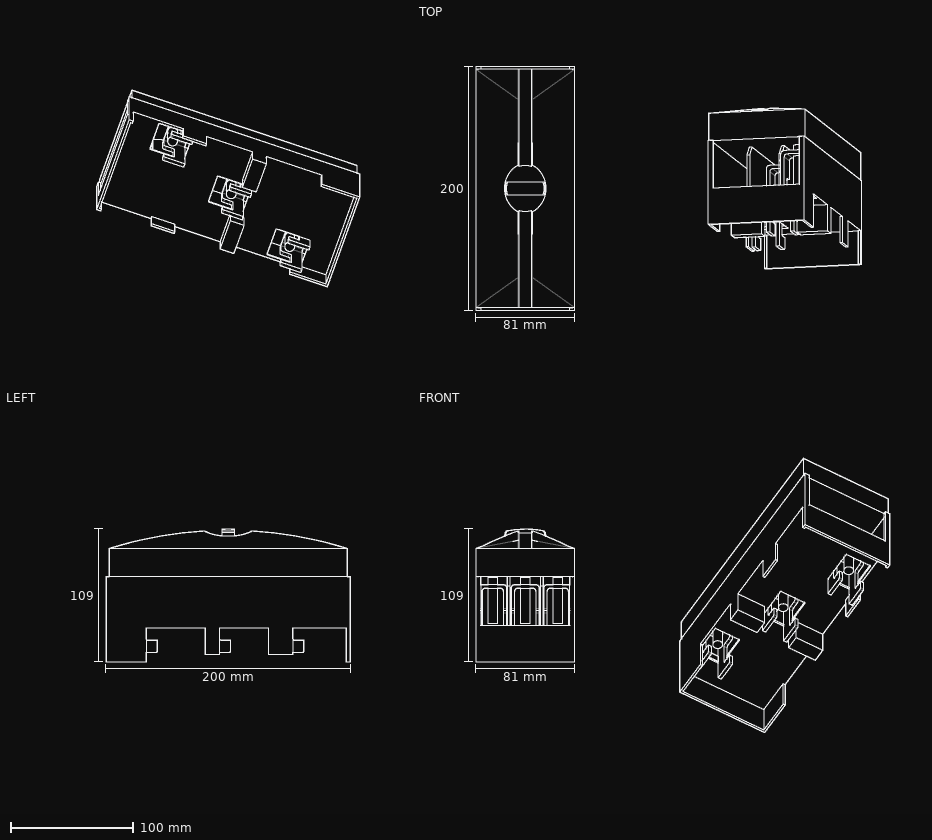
import cadquery as cq
import math

width = 81.0
length = 200.0
housing_height = 70.0
side_wall = 2.0
end_wall = 2.0
post_width = 4.2
floor_bottom = 27.8
floor_top = 30.0
foot_level = 6.0
front_foot_depth = 3.5
second_foot_depth = 20.2
third_foot_depth = 12.0

poles = (-1, 0, 1)
pole_pitch = 26.5
stagger = 60.0
middle_throat_y = 7.0

divider_thickness = 2.5
divider_x = 13.5
divider_end_y = 70.5
divider_shoulder = 62.2
divider_slope = 45
opening_lead = 20.2

clamp_width = 23.2
clamp_strip = 3.0
clamp_bottom = 7.8
clamp_top = 63.5
mouth_bottom = 18.0
mouth_top = 42.0
mouth_depth = 9.0
clamp_back = 9.2
mouth_radius = 2.0
foot_corner_radius = 1.0
toe_radius = 1.2
bend_inner_radius = 2.5
bend_outer_radius = 3.0

screw_diameter = 8.0
screw_bottom = 31.5
screw_top = 69.5

cover_length = 195.2
cover_side_height = 23.0
ridge_half_width = 5.8
hip_y = 72.8
roof_rise = 15.0
groove_half_width = 5.2
groove_rise = 13.0
dish_radius = 22.8
dish_center_z = 118.5

knob_width = 10.5
knob_top = 109.0
knob_seat_radius = 17.0
knob_rim_radius = 16.5
knob_rim_z = 106.0
knob_edge_radius = 15.5
knob_edge_z = 107.5

half_width = width / 2
half_length = length / 2
half_cover = cover_length / 2
half_clamp = clamp_width / 2
inner_x = half_width - side_wall
inner_y = half_length - end_wall
eaves_z = housing_height + cover_side_height


def pole_x(pole):
    """X of the middle plane of one pole."""
    return pole * pole_pitch


def throat_y(pole):
    """Y of the clamp throat of one pole."""
    return middle_throat_y - pole * stagger


def block(x0, x1, y0, y1, z0, z1):
    """Box between two opposite corners."""
    return cq.Workplane("XY").box(x1 - x0, y1 - y0, z1 - z0, centered=False).translate((x0, y0, z0))


def arch_height(offset, half_span, rise):
    """Height of a circular arch above its springing, at a distance from its middle."""
    radius = (half_span**2 + rise**2) / (2 * rise)
    return math.sqrt(radius**2 - offset**2) - (radius - rise)


def cut_side_notches(body):
    """Leave feet along both side walls; the two inner ones stop above the bottom."""
    front = -half_length + front_foot_depth
    second, third, last = throat_y(1), throat_y(0), throat_y(-1)
    for y0, y1 in (
        (front, second),
        (second + second_foot_depth, third),
        (third + third_foot_depth, last),
    ):
        body = body.cut(block(-half_width, half_width, y0, y1, 0, floor_bottom))
    return body.cut(block(-half_width, half_width, front, last, 0, foot_level))


def make_divider(x):
    """Upright partition between two poles, with its ends sloping back at the top."""
    setback = (housing_height - divider_shoulder) * math.tan(math.radians(divider_slope))
    top_end_y = divider_end_y - setback
    return (
        cq.Workplane("YZ", origin=(x - divider_thickness / 2, 0, 0))
        .moveTo(-divider_end_y, floor_bottom)
        .lineTo(divider_end_y, floor_bottom)
        .lineTo(divider_end_y, divider_shoulder)
        .lineTo(top_end_y, housing_height)
        .lineTo(-top_end_y, housing_height)
        .lineTo(-divider_end_y, divider_shoulder)
        .close()
        .extrude(divider_thickness)
    )


def make_middle_foot(side):
    """Thick foot that reaches from one side wall in to the middle pole."""
    x0, x1 = sorted((side * (pole_pitch - half_clamp), side * inner_x))
    y = throat_y(0)
    return block(x0, x1, y, y + third_foot_depth, foot_level, floor_bottom)


def make_housing():
    window_x = half_width - post_width
    body = block(-half_width, half_width, -half_length, half_length, 0, housing_height)
    body = body.cut(block(-inner_x, inner_x, -inner_y, inner_y, floor_top, housing_height))
    body = body.cut(block(-inner_x, inner_x, -inner_y, inner_y, 0, floor_bottom))
    body = body.cut(block(-window_x, window_x, -half_length, half_length, floor_top, housing_height))
    body = cut_side_notches(body)
    for side in (-1, 1):
        body = body.union(make_divider(side * divider_x))
        body = body.union(make_middle_foot(side))
    for pole in poles:
        x, y = pole_x(pole), throat_y(pole)
        opening = block(
            x - half_clamp, x + half_clamp, y - opening_lead, y + clamp_back, floor_bottom, floor_top
        )
        body = body.cut(opening)
    return body.solids()


def round_edge_along_x(body, y, z, radius):
    """Fillet the edge that runs along X through the given Y and Z."""
    return body.edges(cq.selectors.NearestToPointSelector((0, y, z))).fillet(radius)


def make_clamp(pole):
    tip = -mouth_depth
    body = (
        cq.Workplane("YZ", origin=(-half_clamp, 0, 0))
        .moveTo(tip, clamp_bottom)
        .lineTo(clamp_back, clamp_bottom)
        .lineTo(clamp_back, clamp_top)
        .lineTo(tip, clamp_top)
        .lineTo(tip, mouth_top)
        .lineTo(0, mouth_top)
        .lineTo(0, mouth_bottom)
        .lineTo(tip, mouth_bottom)
        .close()
        .extrude(clamp_width)
    )
    body = round_edge_along_x(body, tip, mouth_top, mouth_radius)
    body = round_edge_along_x(body, 0, mouth_top, mouth_radius)
    body = round_edge_along_x(body, 0, mouth_bottom, foot_corner_radius)
    body = round_edge_along_x(body, tip, clamp_bottom, toe_radius)
    body = body.edges("|Y and >Z").fillet(bend_outer_radius)

    inner = half_clamp - clamp_strip
    gap = block(-inner, inner, tip, clamp_back, 0, clamp_top - clamp_strip)
    body = body.cut(gap.edges("|Y and >Z").fillet(bend_inner_radius))

    screw_hole = cq.Workplane("XY", origin=(0, tip / 2, 0)).circle(screw_diameter / 2).extrude(clamp_top)
    return body.cut(screw_hole).translate((pole_x(pole), throat_y(pole), 0)).solids()


def make_screw(pole):
    return (
        cq.Workplane("XY", origin=(pole_x(pole), throat_y(pole) - mouth_depth / 2, screw_bottom))
        .circle(screw_diameter / 2)
        .extrude(screw_top - screw_bottom)
    )


def straight_edge(start, end):
    return cq.Edge.makeLine(cq.Vector(*start), cq.Vector(*end))


def roof_arch(x, y0, y1):
    """Part of the roof arch, in the plane at the given X."""
    points = [
        cq.Vector(x, y, eaves_z + arch_height(y, half_cover, roof_rise))
        for y in (y0, (y0 + y1) / 2, y1)
    ]
    return cq.Edge.makeThreePointArc(*points)


def flat_face(points):
    return cq.Face.makeFromWires(cq.Wire.makePolygon([cq.Vector(*point) for point in points], close=True))


def roof_faces():
    """Ridge strip, two long slopes and the triangles beside the ridge at each end."""
    hip_z = eaves_z + arch_height(hip_y, half_cover, roof_rise)
    faces = []
    for y0, y1 in ((-half_cover, -hip_y), (-hip_y, hip_y), (hip_y, half_cover)):
        left, right = (roof_arch(side * ridge_half_width, y0, y1) for side in (-1, 1))
        faces.append(cq.Face.makeRuledSurface(left, right))
    for side in (-1, 1):
        eave_x = side * half_width
        ridge_x = side * ridge_half_width
        eave = straight_edge((eave_x, -half_cover, eaves_z), (eave_x, half_cover, eaves_z))
        faces.append(cq.Face.makeRuledSurface(eave, roof_arch(ridge_x, -hip_y, hip_y)))
        for end in (-1, 1):
            hip = straight_edge((eave_x, end * half_cover, eaves_z), (ridge_x, end * hip_y, hip_z))
            faces.append(cq.Face.makeRuledSurface(hip, roof_arch(ridge_x, end * half_cover, end * hip_y)))
    return faces


def skirt_faces():
    """Flat underside and the four upright sides below the roof."""
    low, high = housing_height, eaves_z
    x, y, ridge_x = half_width, half_cover, ridge_half_width
    faces = [flat_face([(-x, -y, low), (x, -y, low), (x, y, low), (-x, y, low)])]
    for s in (-1, 1):
        faces.append(flat_face([(s * x, -y, low), (s * x, y, low), (s * x, y, high), (s * x, -y, high)]))
        end_outline = [(-x, low), (x, low), (x, high), (ridge_x, high), (-ridge_x, high), (-x, high)]
        faces.append(flat_face([(px, s * y, pz) for px, pz in end_outline]))
    return faces


def make_cover():
    shell = cq.Shell.makeShell(roof_faces() + skirt_faces())
    groove = (
        cq.Workplane("YZ", origin=(-groove_half_width, 0, 0))
        .moveTo(-half_cover, eaves_z)
        .threePointArc((0, eaves_z + groove_rise), (half_cover, eaves_z))
        .lineTo(half_cover, knob_top)
        .lineTo(-half_cover, knob_top)
        .close()
        .extrude(2 * groove_half_width)
    )
    dish = cq.Workplane("XY").sphere(dish_radius).translate((0, 0, dish_center_z))
    return cq.Workplane(cq.Solid.makeSolid(shell)).cut(groove).cut(dish).solids()


def dish_z(radius):
    """Height of the dish surface at a distance from its axis."""
    return dish_center_z - math.sqrt(dish_radius**2 - radius**2)


def make_knob():
    seat_middle = knob_seat_radius / 2
    dome_middle = knob_edge_radius / 2
    dome_middle_z = knob_edge_z + arch_height(dome_middle, knob_edge_radius, knob_top - knob_edge_z)
    disc = (
        cq.Workplane("XZ")
        .moveTo(0, dish_z(0))
        .threePointArc((seat_middle, dish_z(seat_middle)), (knob_seat_radius, dish_z(knob_seat_radius)))
        .lineTo(knob_rim_radius, knob_rim_z)
        .lineTo(knob_edge_radius, knob_edge_z)
        .threePointArc((dome_middle, dome_middle_z), (0, knob_top))
        .close()
        .revolve(360, (0, 0, 0), (0, 1, 0))
    )
    bar = block(-half_width, half_width, -knob_width / 2, knob_width / 2, 0, knob_top)
    return disc.intersect(bar).solids()


housing = make_housing()
clamps = [make_clamp(pole) for pole in poles]
screws = [make_screw(pole) for pole in poles]
cover = make_cover()
knob = make_knob()

result = cq.Compound.makeCompound(
    [
        housing.val(),
        *[clamp.val() for clamp in clamps],
        *[screw.val() for screw in screws],
        cover.val(),
        knob.val(),
    ]
)